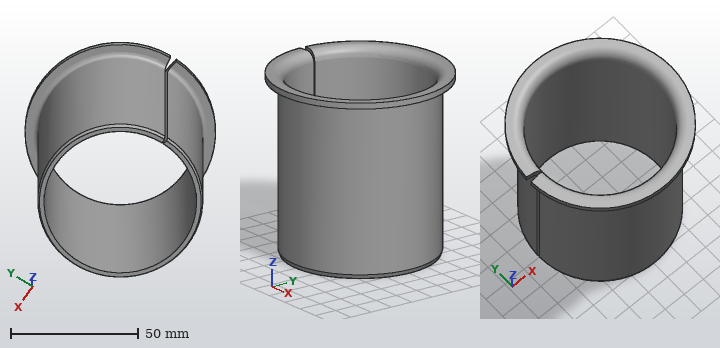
import cadquery as cq
import math

height = 75.0
flange_diameter = 75.0
bore_diameter = 60.0
wall = 2.5
bend_radius = 1.9
chamfer_height = 1.8
chamfer_angle = 20.0
slit_rim_width = 2.85
slit_bore_width = 0.45
slit_overshoot = 0.75

flange_radius = flange_diameter / 2
bore_radius = bore_diameter / 2
outer_radius = bore_radius + wall
mouth_radius = bend_radius + wall
bend_center_x = bore_radius + mouth_radius
bend_center_z = height - mouth_radius
chamfer_width = chamfer_height * math.tan(math.radians(chamfer_angle))
diagonal = math.sqrt(0.5)


def bushing_body():
    """Revolve the wall and flange section about Z, with the seam on the slit side."""
    section = (
        cq.Workplane("XZ")
        .moveTo(bore_radius, 0)
        .lineTo(outer_radius - chamfer_width, 0)
        .lineTo(outer_radius, chamfer_height)
        .lineTo(outer_radius, bend_center_z)
        .threePointArc(
            (bend_center_x - bend_radius * diagonal, bend_center_z + bend_radius * diagonal),
            (bend_center_x, height - wall),
        )
        .lineTo(flange_radius, height - wall)
        .lineTo(flange_radius, height)
        .lineTo(bend_center_x, height)
        .threePointArc(
            (bend_center_x - mouth_radius * diagonal, bend_center_z + mouth_radius * diagonal),
            (bore_radius, bend_center_z),
        )
        .close()
    )
    return section.revolve(360, (0, 0, 0), (0, 1, 0)).rotate((0, 0, 0), (0, 0, 1), 180)


def tapered_slit():
    """Full-height slit on the -X side, narrowing from the rim to the bore."""
    taper = (slit_rim_width - slit_bore_width) / (flange_radius - bore_radius)
    inner_x = bore_radius - slit_overshoot
    outer_x = flange_radius + slit_overshoot
    inner_half = (slit_bore_width + taper * (inner_x - bore_radius)) / 2
    outer_half = (slit_rim_width + taper * (outer_x - flange_radius)) / 2
    return (
        cq.Workplane("XY")
        .polyline([
            (-inner_x, -inner_half),
            (-inner_x, inner_half),
            (-outer_x, outer_half),
            (-outer_x, -outer_half),
        ])
        .close()
        .extrude(height)
    )


result = bushing_body().cut(tapered_slit())